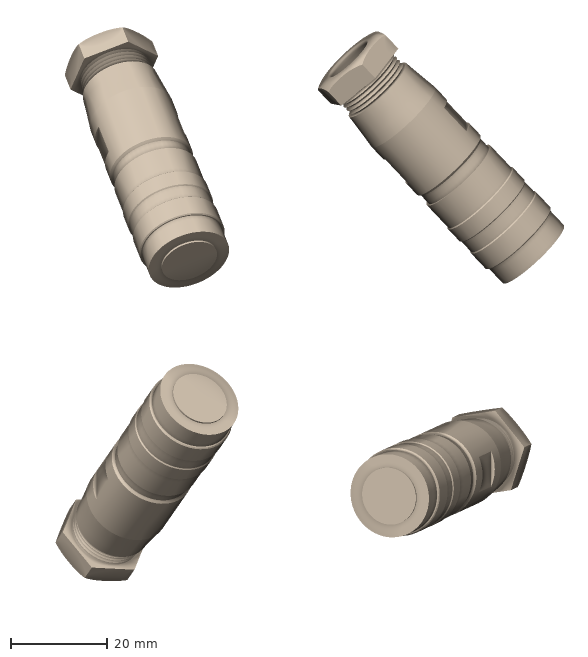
import cadquery as cq
import math

length = 57.2

nut_length = 5.05
nut_extent_y = 19.05
nut_turn = 12.0
nut_corner_radius = nut_extent_y / 2 / math.cos(math.radians(nut_turn))
nut_crown_length = 1.1
nut_face_radius = 6.7

bore_radius = 5.05
bore_mouth_round = 0.65
cable_hole_radius = 3.7

thread_crest_radius = 7.55
thread_root_radius = 6.8
thread_pitch = 0.9
thread_first_crest = 5.0
thread_crest_count = 5

taper_start = 9.05
taper_end = 16.95
taper_start_radius = 8.1
body_radius = 9.05
body_end = 30.85
neck_radius = 8.5
neck_chamfer = body_radius - neck_radius
neck_end = 33.85

band_radius = 9.25
band_spans = [(40.3, 44.35), (47.35, 52.3)]
band_chamfer = band_radius - body_radius
sleeve_end = band_spans[-1][1]
nose_radius = 8.75
nose_end = 56.8
insert_radius = 6.0

flat_start = 20.5
flat_end = 27.4
flat_distance = 8.25

bore_depth = taper_start
cable_hole_depth = taper_end


def revolve_about_x(profile):
    return profile.close().revolve(360, (0, 0, 0), (1, 0, 0))


def cylinder_x(start, end, radius):
    return cq.Workplane("YZ", origin=(start, 0, 0)).circle(radius).extrude(end - start)


def make_nut():
    corners = []
    for i in range(6):
        angle = math.radians(nut_turn + 60 * i)
        corners.append((nut_corner_radius * math.cos(angle), nut_corner_radius * math.sin(angle)))
    hexagon = cq.Workplane("YZ").polyline(corners).close().extrude(nut_length)

    crown_rise = nut_corner_radius - nut_face_radius
    crown_radius = (nut_crown_length**2 + crown_rise**2) / (2 * nut_crown_length)
    half_angle = math.asin(crown_rise / crown_radius) / 2
    crown_middle = (
        crown_radius * (1 - math.cos(half_angle)),
        nut_face_radius + crown_radius * math.sin(half_angle),
    )
    crown = revolve_about_x(
        cq.Workplane("XY")
        .lineTo(0, nut_face_radius)
        .threePointArc(crown_middle, (nut_crown_length, nut_corner_radius))
        .lineTo(nut_length, nut_corner_radius)
        .lineTo(nut_length, 0)
    )
    return hexagon.intersect(crown)


def make_thread():
    """Ring-shaped V ridges; the end ridges run into the nut and the body."""
    start = thread_first_crest - thread_pitch / 2
    profile = cq.Workplane("XY").moveTo(start, 0).lineTo(start, thread_root_radius)
    for i in range(thread_crest_count):
        crest = thread_first_crest + i * thread_pitch
        profile = profile.lineTo(crest, thread_crest_radius)
        profile = profile.lineTo(crest + thread_pitch / 2, thread_root_radius)
    end = start + thread_crest_count * thread_pitch
    return revolve_about_x(profile.lineTo(end, 0))


def make_body():
    profile = (
        cq.Workplane("XY")
        .moveTo(taper_start, 0)
        .lineTo(taper_start, taper_start_radius)
        .lineTo(taper_end, body_radius)
        .lineTo(body_end, body_radius)
        .lineTo(body_end + neck_chamfer, neck_radius)
        .lineTo(neck_end, neck_radius)
        .lineTo(neck_end, body_radius)
    )
    for start, end in band_spans:
        profile = (
            profile.lineTo(start, body_radius)
            .lineTo(start + band_chamfer, band_radius)
            .lineTo(end - band_chamfer, band_radius)
            .lineTo(end, body_radius)
        )
    profile = (
        profile.lineTo(sleeve_end, nose_radius)
        .lineTo(nose_end, nose_radius)
        .lineTo(nose_end, insert_radius)
        .lineTo(length, insert_radius)
        .lineTo(length, 0)
    )
    return revolve_about_x(profile)


def cut_spanner_flats(part):
    flat_length = flat_end - flat_start
    depth = body_radius - flat_distance
    for side in (-1, 1):
        cutter = cq.Workplane("XY").box(flat_length, depth, 2 * body_radius).translate(
            ((flat_start + flat_end) / 2, side * (flat_distance + depth / 2), 0)
        )
        part = part.cut(cutter)
    return part


def cut_cable_entry(part):
    """Stepped blind hole whose mouth is rounded outward to the nut face."""
    arc_offset = bore_mouth_round * (1 - math.sqrt(0.5))
    entry = revolve_about_x(
        cq.Workplane("XY")
        .lineTo(0, bore_radius + bore_mouth_round)
        .threePointArc((arc_offset, bore_radius + arc_offset), (bore_mouth_round, bore_radius))
        .lineTo(bore_depth, bore_radius)
        .lineTo(bore_depth, 0)
    )
    return part.cut(entry).cut(cylinder_x(bore_depth, cable_hole_depth, cable_hole_radius))


result = make_nut().union(make_thread()).union(make_body())
result = cut_spanner_flats(result)
result = cut_cable_entry(result)